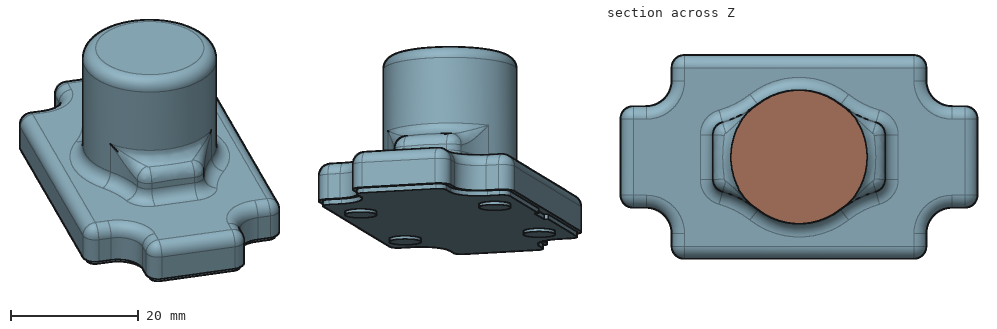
import cadquery as cq
import math

plate_length = 56.0
plate_width = 32.0
plate_height = 6.0
notch_size = 8.0
notch_radius = 4.0
edge_radius = 2.0

lip_height = 0.8
lip_inset = 0.7
recess_width = 5.2
recess_depth = 0.7

foot_diameter = 5.0
foot_height = 0.5
foot_x = 12.0
foot_y = 11.0

boss_diameter = 21.0
boss_height = 19.5
shoulder_length = 27.0
shoulder_flat = 7.0
shoulder_height = 5.0
blend_radius = 15.95

lip_bottom = foot_height
plate_bottom = lip_bottom + lip_height
plate_top = plate_bottom + plate_height
shoulder_top = plate_top + shoulder_height
cove_top = shoulder_top + edge_radius

tolerance = 0.05


def polar(center_x, center_y, radius, angle):
    return (center_x + radius * math.cos(angle), center_y + radius * math.sin(angle))


boss_radius = boss_diameter / 2
corner_x = shoulder_length / 2 - edge_radius
corner_y = shoulder_flat / 2

corner_distance = math.hypot(corner_x, corner_y)
boss_to_blend = boss_radius + blend_radius
corner_to_blend = edge_radius + blend_radius
blend_swing = math.acos(
    (boss_to_blend**2 + corner_distance**2 - corner_to_blend**2)
    / (2 * boss_to_blend * corner_distance)
)
blend_angle = math.atan2(corner_y, corner_x) + blend_swing
blend_x, blend_y = polar(0, 0, boss_to_blend, blend_angle)
corner_angle = math.atan2(blend_y - corner_y, blend_x - corner_x)

boss_tangent = polar(0, 0, boss_radius, blend_angle)
corner_tangent = polar(corner_x, corner_y, edge_radius, corner_angle)
corner_middle = polar(corner_x, corner_y, edge_radius, corner_angle / 2)
blend_middle = polar(blend_x, blend_y, blend_radius, math.pi + (blend_angle + corner_angle) / 2)


def make_slab(inset, bottom, height):
    """Notched plate with rounded corners, its outline moved inwards by inset."""
    notches = (
        cq.Workplane("XY")
        .workplane(offset=bottom)
        .rect(plate_length, plate_width, forConstruction=True)
        .vertices()
        .rect(2 * (notch_size + inset), 2 * (notch_size + inset))
        .extrude(height)
        .edges("|Z")
        .fillet(notch_radius + inset)
    )
    return (
        cq.Workplane("XY")
        .workplane(offset=bottom)
        .rect(plate_length - 2 * inset, plate_width - 2 * inset)
        .extrude(height)
        .cut(notches)
        .edges("|Z and (>X or <X or >Y or <Y)")
        .fillet(edge_radius - inset)
    )


def make_plate():
    return make_slab(0, plate_bottom, plate_height).faces(">Z").edges().fillet(edge_radius)


def make_lip():
    recess = (
        cq.Workplane("XY")
        .workplane(offset=lip_bottom)
        .center(0, lip_inset - plate_width / 2)
        .rect(recess_width, 2 * recess_depth)
        .extrude(lip_height)
    )
    return make_slab(lip_inset, lip_bottom, lip_height).cut(recess)


def make_feet():
    return (
        cq.Workplane("XY")
        .rect(2 * foot_x, 2 * foot_y, forConstruction=True)
        .vertices()
        .circle(foot_diameter / 2)
        .extrude(foot_height)
    )


def make_boss():
    return (
        cq.Workplane("XY")
        .workplane(offset=plate_top)
        .circle(boss_radius)
        .extrude(boss_height)
        .faces(">Z")
        .edges()
        .fillet(edge_radius)
    )


def shoulder_prism(height):
    """Plan outline of the boss together with both shoulders, extruded from the plate top."""

    def turned(point, side):
        return (side * point[0], side * point[1])

    def mirrored(point, side):
        return (-side * point[0], side * point[1])

    outline = (
        cq.Workplane("XY")
        .workplane(offset=plate_top)
        .moveTo(shoulder_length / 2, -corner_y)
    )
    for side in (1, -1):
        outline = (
            outline.lineTo(side * shoulder_length / 2, side * corner_y)
            .threePointArc(turned(corner_middle, side), turned(corner_tangent, side))
            .threePointArc(turned(blend_middle, side), turned(boss_tangent, side))
            .threePointArc((0, side * boss_radius), mirrored(boss_tangent, side))
            .threePointArc(mirrored(blend_middle, side), mirrored(corner_tangent, side))
            .threePointArc(mirrored(corner_middle, side), (-side * shoulder_length / 2, side * corner_y))
        )
    return outline.close().extrude(height)


def is_shoulder_rim(edge):
    """True for the outer top edges, not for the arc where the flat top starts to flare."""
    center = edge.Center()
    in_height = shoulder_top - tolerance < center.z < cove_top - tolerance
    is_flare_arc = edge.geomType() == "CIRCLE" and abs(center.y) < tolerance
    return in_height and not is_flare_arc


def make_shoulders():
    """Shoulders that flare up into the boss through a hollow arc, with a rounded top rim."""
    cove = (
        cq.Workplane("XZ")
        .moveTo(boss_radius, cove_top)
        .radiusArc((boss_radius + edge_radius, shoulder_top), -edge_radius)
        .lineTo(shoulder_length, shoulder_top)
        .lineTo(shoulder_length, cove_top)
        .close()
        .revolve(360, (0, 0, 0), (0, 1, 0))
    )
    flared = shoulder_prism(shoulder_height + edge_radius).cut(cove)
    rim_edges = [edge for edge in flared.edges().vals() if is_shoulder_rim(edge)]
    return flared.newObject(rim_edges).fillet(edge_radius)


body = make_plate().union(make_shoulders()).union(make_boss())
foot_of_boss = cq.selectors.BoxSelector(
    (-shoulder_length / 2 - tolerance, -boss_radius - tolerance, plate_top - tolerance),
    (shoulder_length / 2 + tolerance, boss_radius + tolerance, plate_top + tolerance),
)
body = body.edges(foot_of_boss).fillet(edge_radius)

result = body.union(make_lip()).union(make_feet())